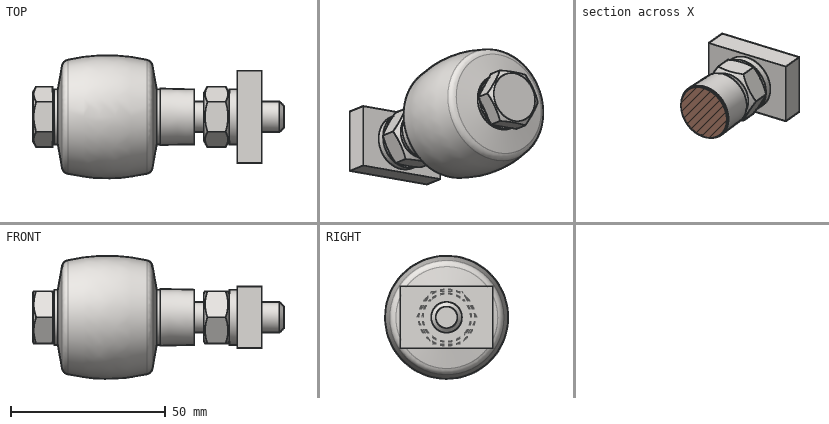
import cadquery as cq
import math


total_length = 81.4
rod_radius = 5.0
tip_chamfer = 1.5
hex_sides = 6
hex_across_flats = 17.0
hex_across_corners = hex_across_flats / math.cos(math.pi / hex_sides)
corner_clearance = 0.5
hex_chamfer_angle = 30.0
head_height = 6.4
head_face_radius = 8.0
bearing_face_radius = 8.0
bearing_face_height = 0.5
nut_height = 8.4
nut_face_radius = 7.65

hub_radius = 9.0
hub_overhang = 1.15
roller_width = 32.1
roller_crown_radius = 20.0
roller_rim_radius = 18.1
side_taper_angle = 10.0
roller_fillet = 2.5

sleeve_length = 11.0
sleeve_large_radius = 9.25
sleeve_small_radius = 9.0
nut_gap = 3.0
washer_radius = 9.0
washer_thickness = 2.5
plate_thickness = 8.0
plate_width = 30.0
plate_height = 20.0

hub_start = head_height + bearing_face_height
roller_start = hub_start + hub_overhang
roller_end = roller_start + roller_width
roller_middle = (roller_start + roller_end) / 2
sleeve_start = roller_end + hub_overhang
sleeve_end = sleeve_start + sleeve_length
nut_start = sleeve_end + nut_gap
nut_end = nut_start + nut_height
washer_end = nut_end + washer_thickness


def cylinder(start, end, radius):
    """Cylinder along X between two stations."""
    return cq.Workplane("YZ", origin=(start, 0, 0)).circle(radius).extrude(end - start)


def revolve_about_x(profile):
    """Solid of revolution from a closed profile in the XZ plane."""
    return profile.revolve(360, (0, 0, 0), (1, 0, 0))


def chamfer_envelope(start, end, start_radius, end_radius):
    """Turned blank that cuts the conical chamfers on the ends of a hexagon.

    An end radius of None leaves that end square.
    """
    outer_radius = hex_across_corners / 2 + corner_clearance
    slope = math.tan(math.radians(hex_chamfer_angle))
    profile = cq.Workplane("XZ").moveTo(start, 0).lineTo(start, start_radius)
    profile = profile.lineTo(start + (outer_radius - start_radius) * slope, outer_radius)
    if end_radius is None:
        profile = profile.lineTo(end, outer_radius)
    else:
        profile = profile.lineTo(end - (outer_radius - end_radius) * slope, outer_radius)
        profile = profile.lineTo(end, end_radius)
    return revolve_about_x(profile.lineTo(end, 0).close())


def hexagon(start, end):
    """Hexagonal prism along X with flats facing +Z and -Z."""
    base = cq.Workplane("YZ", origin=(start, 0, 0)).polygon(hex_sides, hex_across_corners)
    return base.extrude(end - start)


def make_roller():
    """Crowned roller with tapered side faces and rounded rims."""
    rim_inset = (roller_rim_radius - hub_radius) * math.tan(math.radians(side_taper_angle))
    profile = (
        cq.Workplane("XZ")
        .moveTo(roller_start, 0)
        .lineTo(roller_start, hub_radius)
        .lineTo(roller_start + rim_inset, roller_rim_radius)
        .threePointArc(
            (roller_middle, roller_crown_radius),
            (roller_end - rim_inset, roller_rim_radius),
        )
        .lineTo(roller_end, hub_radius)
        .lineTo(roller_end, 0)
        .close()
    )
    rims = cq.selectors.RadiusNthSelector(-2)
    return revolve_about_x(profile).edges(rims).fillet(roller_fillet)


def make_sleeve():
    """Slightly tapered spacer sleeve, largest next to the hub."""
    profile = (
        cq.Workplane("XZ")
        .moveTo(sleeve_start, 0)
        .lineTo(sleeve_start, sleeve_large_radius)
        .lineTo(sleeve_end, sleeve_small_radius)
        .lineTo(sleeve_end, 0)
        .close()
    )
    return revolve_about_x(profile)


def make_bolt():
    """Hexagon head with its bearing face and the rod with a chamfered tip."""
    head = hexagon(0, head_height).intersect(
        chamfer_envelope(0, head_height, head_face_radius, None)
    )
    bearing_face = cylinder(head_height, hub_start, bearing_face_radius)
    rod = cylinder(head_height, total_length, rod_radius).faces(">X").chamfer(tip_chamfer)
    return head.union(bearing_face).union(rod)


def make_nut():
    """Hexagon nut chamfered on both faces."""
    return hexagon(nut_start, nut_end).intersect(
        chamfer_envelope(nut_start, nut_end, nut_face_radius, nut_face_radius)
    )


def make_plate():
    """Rectangular clamping plate."""
    return (
        cq.Workplane("YZ", origin=(washer_end, 0, 0))
        .rect(plate_width, plate_height)
        .extrude(plate_thickness)
    )


hub = cylinder(hub_start, sleeve_start, hub_radius)
washer = cylinder(nut_end, washer_end, washer_radius)

result = make_bolt()
for component in (hub, make_roller(), make_sleeve(), make_nut(), washer, make_plate()):
    result = result.union(component)